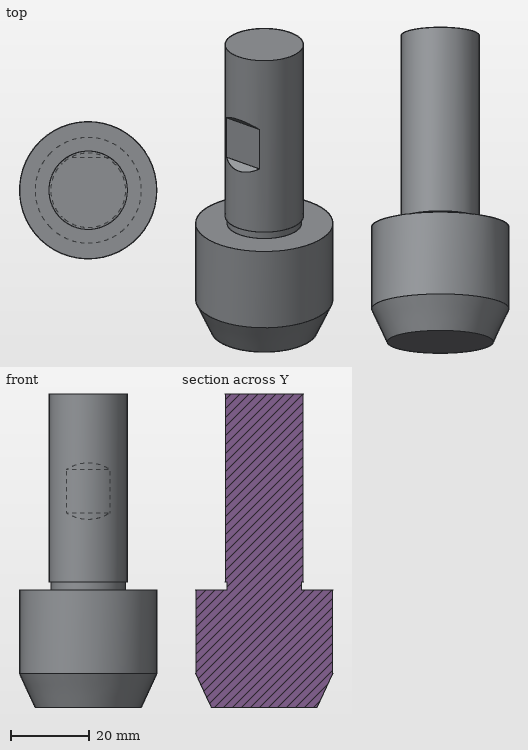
import cadquery as cq

total_height = 80.0
shank_diameter = 20.0
neck_diameter = 19.0
head_diameter = 35.0
nose_diameter = 27.0

taper_height = 8.6
head_top = 30.0
neck_top = 32.0

notch_center_height = 55.2
notch_depth = 1.7
notch_mouth_length = 14.4
notch_floor_length = notch_mouth_length - 2 * notch_depth


def make_turned_body():
    """Revolve the tapered nose, head, relief neck and shank about Z."""
    half_profile = [
        (0, 0),
        (nose_diameter / 2, 0),
        (head_diameter / 2, taper_height),
        (head_diameter / 2, head_top),
        (neck_diameter / 2, head_top),
        (neck_diameter / 2, neck_top),
        (shank_diameter / 2, neck_top),
        (shank_diameter / 2, total_height),
        (0, total_height),
    ]
    return cq.Workplane("XZ").polyline(half_profile).close().revolve(360, (0, 0), (0, 1))


def make_notch_cutter():
    """Trapezoid in the YZ plane, extended past the shank surface and across X."""
    clearance = 0.8
    floor_y = shank_diameter / 2 - notch_depth
    outer_y = shank_diameter / 2 + clearance
    floor_half = notch_floor_length / 2
    outer_half = notch_mouth_length / 2 + clearance
    outline = [
        (floor_y, notch_center_height - floor_half),
        (outer_y, notch_center_height - outer_half),
        (outer_y, notch_center_height + outer_half),
        (floor_y, notch_center_height + floor_half),
    ]
    return cq.Workplane("YZ").polyline(outline).close().extrude(shank_diameter / 2, both=True)


result = make_turned_body().cut(make_notch_cutter())